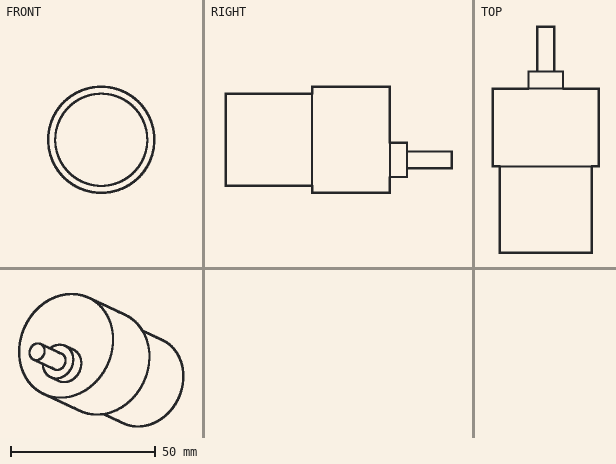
import cadquery as cq

MOTOR_DIAMETER = 32.0
MOTOR_LENGTH = 30.0
GEARBOX_DIAMETER = 37.0
GEARBOX_LENGTH = 27.0
BOSS_DIAMETER = 12.0
BOSS_LENGTH = 6.0
SHAFT_DIAMETER = 6.0
TOTAL_LENGTH = 78.5
SHAFT_DROP = 7.0

gearbox_start = MOTOR_LENGTH
boss_start = gearbox_start + GEARBOX_LENGTH
shaft_start = boss_start + BOSS_LENGTH
shaft_length = TOTAL_LENGTH - shaft_start


def cylinder_along_y(diameter, length, y_start, z_axis=0):
    """Solid cylinder from y_start toward +Y, centred on X = 0."""
    base = cq.Vector(0, y_start, z_axis)
    direction = cq.Vector(0, 1, 0)
    return cq.Workplane(cq.Solid.makeCylinder(diameter / 2, length, base, direction))


motor = cylinder_along_y(MOTOR_DIAMETER, MOTOR_LENGTH, 0)
gearbox = cylinder_along_y(GEARBOX_DIAMETER, GEARBOX_LENGTH, gearbox_start)

boss = cylinder_along_y(BOSS_DIAMETER, BOSS_LENGTH, boss_start, -SHAFT_DROP)
shaft = cylinder_along_y(SHAFT_DIAMETER, shaft_length, shaft_start, -SHAFT_DROP)

result = motor.union(gearbox).union(boss).union(shaft)